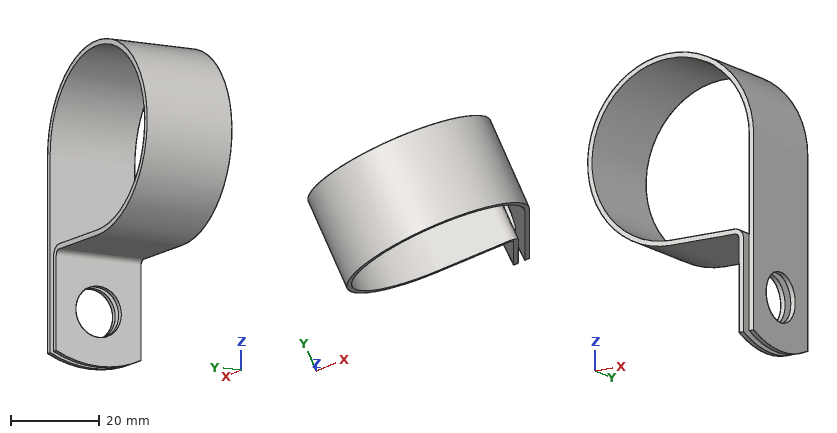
import cadquery as cq
import math

height = 71.05
width = 22.25
thickness = 1.2
loop_diameter = 45.3
outer_radius = loop_diameter / 2
inner_radius = outer_radius - thickness
loop_z = height - outer_radius

tab_gap = 1.55
bend_outer_radius = 2.5
bend_inner_radius = bend_outer_radius - thickness
hole_diameter = 11.9
hole_z = 12.65
tab_end_rise = 2.5

short_tab_outer_x = inner_radius - tab_gap
short_tab_inner_x = short_tab_outer_x - thickness
bend_x = short_tab_outer_x - bend_outer_radius
shelf_top_z = loop_z - inner_radius
shelf_bottom_z = loop_z - outer_radius
bend_z = shelf_top_z - bend_outer_radius
diagonal = math.sqrt(0.5)


def bent_strip():
    """Strip closed round the loop, with one straight tab and one bent tab."""
    return (
        cq.Workplane("XZ")
        .moveTo(outer_radius, 0)
        .lineTo(outer_radius, loop_z)
        .threePointArc(
            (-outer_radius * diagonal, loop_z + outer_radius * diagonal),
            (0, shelf_bottom_z),
        )
        .lineTo(bend_x, shelf_bottom_z)
        .threePointArc(
            (bend_x + bend_inner_radius * diagonal, bend_z + bend_inner_radius * diagonal),
            (short_tab_inner_x, bend_z),
        )
        .lineTo(short_tab_inner_x, 0)
        .lineTo(short_tab_outer_x, 0)
        .lineTo(short_tab_outer_x, bend_z)
        .threePointArc(
            (bend_x + bend_outer_radius * diagonal, bend_z + bend_outer_radius * diagonal),
            (bend_x, shelf_top_z),
        )
        .lineTo(0, shelf_top_z)
        .threePointArc(
            (-inner_radius * diagonal, loop_z + inner_radius * diagonal),
            (inner_radius, loop_z),
        )
        .lineTo(inner_radius, 0)
        .close()
        .extrude(width / 2, both=True)
    )


def end_outline():
    """Side silhouette of the strip with its rounded lower end, along X."""
    return (
        cq.Workplane("YZ", origin=(-outer_radius, 0, 0))
        .moveTo(-width / 2, height)
        .lineTo(-width / 2, tab_end_rise)
        .threePointArc((0, 0), (width / 2, tab_end_rise))
        .lineTo(width / 2, height)
        .close()
        .extrude(loop_diameter)
    )


def bolt_hole():
    """Cylinder that pierces both tabs."""
    return (
        cq.Workplane("YZ")
        .center(0, hole_z)
        .circle(hole_diameter / 2)
        .extrude(outer_radius)
    )


result = bent_strip().intersect(end_outline()).cut(bolt_hole())